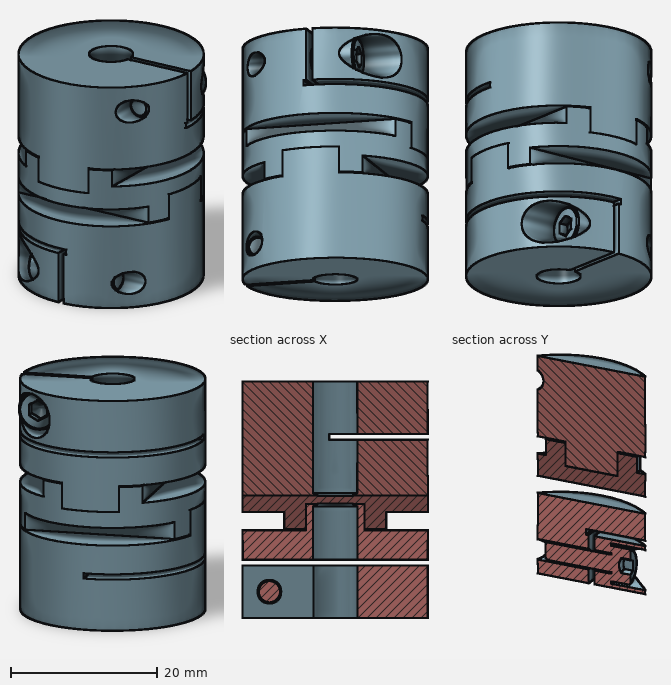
import cadquery as cq
import math

LENGTH = 32.4
OUTER_R = 25.4 / 2
OVERSIZE = 2 * OUTER_R

HUB_HEIGHT = 12.02
TONGUE_WIDTH = 8.07
TONGUE_HEIGHT = 3.63
TONGUE_TOP = HUB_HEIGHT + TONGUE_HEIGHT

BORE_R = 6.03 / 2
BORE_END_R = 4.7 / 2
BORE_CONE_HALF_ANGLE = 59.0
BORE_CONE_HEIGHT = (BORE_R - BORE_END_R) / math.tan(math.radians(BORE_CONE_HALF_ANGLE))
BORE_CONE_START = TONGUE_TOP - BORE_CONE_HEIGHT

CLAMP_HEIGHT = 7.23
CROSS_SLIT_HEIGHT = 0.75
CROSS_SLIT_END_X = 0.8
AXIAL_SLIT_WIDTH = 0.87

SCREW_Y = -9.0
SCREW_Z = CLAMP_HEIGHT / 2
SHANK_R = 1.5
SHANK_LENGTH = 10.0
SHANK_CHAMFER = 0.25
HEAD_R = 2.75
HEAD_LENGTH = 3.0
HEAD_CHAMFER = 0.23
HEAD_FACE_X = -6.0
HEAD_SEAT_X = HEAD_FACE_X + HEAD_LENGTH
SCREW_HOLE_R = 1.62
COUNTERBORE_R = 6.05 / 2
SOCKET_FLATS = 2.53
SOCKET_CORNER_R = SOCKET_FLATS / math.sqrt(3)
SOCKET_DEPTH = 1.3
SOCKET_SIDES = 6
HALF_HEX_STEP = 180 / SOCKET_SIDES
SOCKET_CONE_HALF_ANGLE = 59.0
SOCKET_CONE_HEIGHT = SOCKET_CORNER_R / math.tan(math.radians(SOCKET_CONE_HALF_ANGLE))

FACE_GAP = 0.13
DISC_BOTTOM = HUB_HEIGHT + FACE_GAP
DISC_THICKNESS = LENGTH - 2 * DISC_BOTTOM
RIB_WIDTH = 14.0
WEB_THICKNESS = 3.37
RIB_HEIGHT = (DISC_THICKNESS - WEB_THICKNESS) / 2


def box(x_range, y_range, z_range):
    """Axis-aligned box spanning the given (low, high) ranges."""
    ranges = (x_range, y_range, z_range)
    size = [high - low for low, high in ranges]
    corner = [low for low, high in ranges]
    return cq.Workplane("XY").box(*size, centered=False).translate(tuple(corner))


def long_bar(width, z_range):
    """Bar along X, centred on the coupling axis and longer than the coupling is wide."""
    return box((-OVERSIZE, OVERSIZE), (-width / 2, width / 2), z_range)


def disc(z_range):
    """Full-diameter cylinder between two heights."""
    low, high = z_range
    return cq.Workplane("XY").workplane(offset=low).circle(OUTER_R).extrude(high - low)


def turned_over(part):
    """Half turn about the horizontal diagonal through mid-height, swapping bottom and top."""
    mid_height = LENGTH / 2
    return part.rotate((0, 0, mid_height), (0.32, -0.32, mid_height), 180)


def screw_plane(x):
    """Workplane across the screw axis at the given X, facing +X with its own X along Y."""
    return cq.Workplane("YZ", origin=(x, SCREW_Y, SCREW_Z))


def hub_bore():
    """Blank for the bore: straight, then a cone up to the end of the tongue."""
    profile = [
        (0, 0),
        (BORE_R, 0),
        (BORE_R, BORE_CONE_START),
        (BORE_END_R, TONGUE_TOP),
        (0, TONGUE_TOP),
    ]
    return cq.Workplane("XZ").polyline(profile).close().revolve(360, (0, 0), (0, 1))


def clamp_slits():
    """Cross slit above the clamp ring plus the axial slit from the bore to the outside."""
    cross = box(
        (-OVERSIZE, CROSS_SLIT_END_X),
        (-OVERSIZE, OVERSIZE),
        (CLAMP_HEIGHT, CLAMP_HEIGHT + CROSS_SLIT_HEIGHT),
    )
    axial = box(
        (-AXIAL_SLIT_WIDTH / 2, AXIAL_SLIT_WIDTH / 2),
        (-OVERSIZE, 0),
        (0, CLAMP_HEIGHT),
    )
    return cross.union(axial)


def screw_holes():
    """Clearance hole to the +X side and counterbore to the -X side."""
    clearance = screw_plane(HEAD_SEAT_X).circle(SCREW_HOLE_R).extrude(OVERSIZE)
    counterbore = screw_plane(HEAD_SEAT_X).circle(COUNTERBORE_R).extrude(-OVERSIZE)
    return clearance.union(counterbore)


def hex_socket():
    """Hexagonal recess with a conical bottom and corners pointing along Z."""
    hexagon = (
        screw_plane(HEAD_FACE_X)
        .polygon(SOCKET_SIDES, 2 * SOCKET_CORNER_R)
        .extrude(SOCKET_DEPTH + SOCKET_CONE_HEIGHT)
        .rotate((0, SCREW_Y, SCREW_Z), (1, SCREW_Y, SCREW_Z), HALF_HEX_STEP)
    )
    profile = [
        (0, 0),
        (0, SOCKET_CORNER_R),
        (SOCKET_DEPTH, SOCKET_CORNER_R),
        (SOCKET_DEPTH + SOCKET_CONE_HEIGHT, 0),
    ]
    drilled = (
        cq.Workplane("XZ", origin=(HEAD_FACE_X, SCREW_Y, SCREW_Z))
        .polyline(profile)
        .close()
        .revolve(360, (0, 0), (1, 0))
    )
    return hexagon.intersect(drilled)


def clamp_screw():
    """Socket-head screw with its head against the counterbore floor."""
    head = screw_plane(HEAD_SEAT_X).circle(HEAD_R).extrude(-HEAD_LENGTH)
    head = head.faces("<X").chamfer(HEAD_CHAMFER)
    shank = screw_plane(HEAD_SEAT_X).circle(SHANK_R).extrude(SHANK_LENGTH)
    shank = shank.faces(">X").chamfer(SHANK_CHAMFER)
    return head.cut(hex_socket()).union(shank)


def clamp_hub():
    """Lower hub, one solid with its clamp screw; the tongue runs along X."""
    tongue = disc((0, TONGUE_TOP)).intersect(long_bar(TONGUE_WIDTH, (0, TONGUE_TOP)))
    body = disc((0, HUB_HEIGHT)).union(tongue)
    body = body.cut(hub_bore()).cut(clamp_slits()).cut(screw_holes())
    return body.union(clamp_screw())


def middle_disc():
    """Disc with a slotted rib on each face; the lower rib runs along X, the upper along Y."""
    rib_range = (DISC_BOTTOM, DISC_BOTTOM + RIB_HEIGHT)
    rib = long_bar(RIB_WIDTH, rib_range)
    beside_rib = long_bar(OVERSIZE, rib_range).cut(rib)
    slot = long_bar(TONGUE_WIDTH, (DISC_BOTTOM, TONGUE_TOP))
    cutouts = beside_rib.union(slot)
    body = disc((DISC_BOTTOM, LENGTH - DISC_BOTTOM))
    return body.cut(cutouts).cut(turned_over(cutouts))


lower_hub = clamp_hub()
hubs = [lower_hub, turned_over(lower_hub)]
spacer = middle_disc()

result = cq.Compound.makeCompound([*[hub.val() for hub in hubs], spacer.val()])